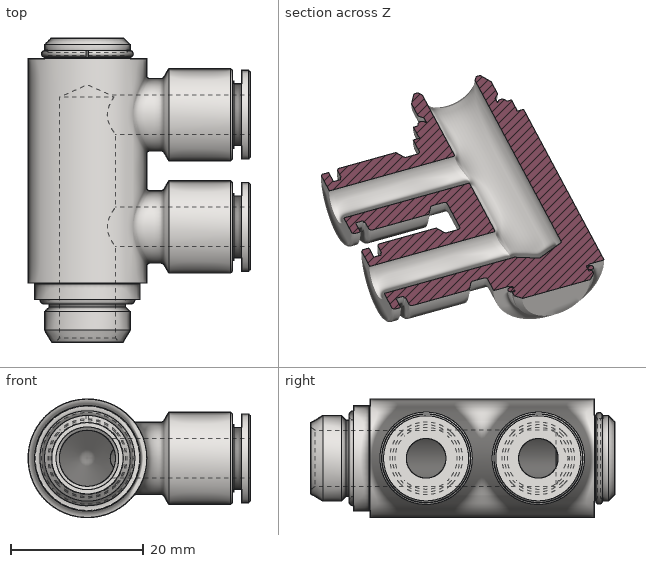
import cadquery as cq
import math


barrel_radius = 9.0
barrel_length = 34.0

collar_radius = 8.0
collar_length = 2.5
relief_depth = 0.1
relief_width = 0.15
seal_radius = 0.7

spigot_radius = 6.5
spigot_neck_radius = 5.8
spigot_neck_length = 1.15
spigot_shoulder_length = spigot_radius - spigot_neck_radius
spigot_land_length = 2.8
spigot_taper_length = 1.85
spigot_tip_radius = 5.4

plug_radius = 6.5
plug_length = 3.1
plug_chamfer = 1.0
ring_groove_radius = 6.0
ring_groove_width = 1.06
ring_wire_radius = 0.5
ring_centre_radius = 6.45
ring_centre_offset = 0.72
ring_gap = 0.4

bore_radius = 4.25
bore_mouth_radius = 4.75
bore_mouth_length = 0.7
drill_point_angle = 132.0
bore_run_past_branch = 2.65

branch_count = 2
branch_pitch = barrel_length / branch_count
branch_neck_radius = 5.5
branch_neck_end = 11.45
branch_neck_fillet = 0.45
branch_root_fillet = 0.4
socket_radius = 7.0
socket_start = 12.35
socket_end = 22.0
socket_chamfer = 0.3
collet_lip_radius = 5.1
collet_lip_length = 0.2
collet_radius = 4.7
collet_flange_radius = 6.75
collet_flange_start = 23.35
collet_end = 24.7
collet_chamfer = 0.3
branch_bore_radius = 3.0

seam_margin = 0.1

collar_bottom = -collar_length
spigot_neck_bottom = collar_bottom - spigot_neck_length
spigot_land_top = spigot_neck_bottom - spigot_shoulder_length
spigot_land_bottom = spigot_land_top - spigot_land_length
spigot_bottom = spigot_land_bottom - spigot_taper_length
plug_top = barrel_length + plug_length
ring_centre = barrel_length + ring_centre_offset
branch_stations = [branch_pitch * (i + 0.5) for i in range(branch_count)]


def revolve_about_y(profile):
    """Close a half profile drawn in XY and spin it about the Y axis."""
    return profile.close().revolve(360, (0, 0, 0), (0, 1, 0))


def make_barrel():
    """Solid barrel, including the collar, O-ring, spigot and plug end."""
    relief_radius = collar_radius - relief_depth
    seal_centre_radius = spigot_neck_radius + seal_radius
    groove_bottom = ring_centre - ring_groove_width / 2
    groove_top = ring_centre + ring_groove_width / 2
    profile = (
        cq.Workplane("XY")
        .moveTo(0, spigot_bottom)
        .lineTo(spigot_tip_radius, spigot_bottom)
        .lineTo(spigot_radius, spigot_land_bottom)
        .lineTo(spigot_radius, spigot_land_top)
        .lineTo(spigot_neck_radius, spigot_neck_bottom)
        .lineTo(spigot_neck_radius, collar_bottom)
        .threePointArc(
            (seal_centre_radius, collar_bottom - seal_radius),
            (seal_centre_radius + seal_radius, collar_bottom),
        )
        .lineTo(collar_radius, collar_bottom)
        .lineTo(collar_radius, -relief_width)
        .lineTo(relief_radius, -relief_width)
        .lineTo(relief_radius, 0)
        .lineTo(barrel_radius, 0)
        .lineTo(barrel_radius, barrel_length)
        .lineTo(plug_radius, barrel_length)
        .lineTo(plug_radius, groove_bottom)
        .lineTo(ring_groove_radius, groove_bottom)
        .lineTo(ring_groove_radius, groove_top)
        .lineTo(plug_radius, groove_top)
        .lineTo(plug_radius, plug_top - plug_chamfer)
        .lineTo(plug_radius - plug_chamfer, plug_top)
        .lineTo(0, plug_top)
    )
    return revolve_about_y(profile)


def make_retaining_ring():
    """Round-wire ring seated in the plug groove, split on its +Z side."""
    wire = cq.Workplane("XY").center(-ring_centre_radius, ring_centre).circle(ring_wire_radius)
    ring = wire.revolve(360, (ring_centre_radius, 0, 0), (ring_centre_radius, 1, 0))
    gap_height = ring_centre_radius + 2 * ring_wire_radius
    gap = cq.Workplane("XY").box(
        ring_gap, 4 * ring_wire_radius, gap_height, centered=(True, True, False)
    )
    return ring.cut(gap.translate((0, ring_centre, 0)))


def make_branch_neck(station):
    """Plain neck running from the barrel axis out to the socket."""
    neck = cq.Workplane("YZ").center(station, 0).circle(branch_neck_radius)
    return neck.extrude(branch_neck_end)


def make_socket(station):
    """Push-in socket and release collet at the outer end of a branch."""
    lip_end = socket_end + collet_lip_length
    overlap_start = branch_neck_end - branch_neck_fillet
    profile = (
        cq.Workplane("XY")
        .moveTo(overlap_start, 0)
        .lineTo(overlap_start, branch_neck_radius)
        .lineTo(branch_neck_end, branch_neck_radius)
        .lineTo(socket_start, socket_radius)
        .lineTo(socket_end - socket_chamfer, socket_radius)
        .lineTo(socket_end, socket_radius - socket_chamfer)
        .lineTo(socket_end, collet_lip_radius)
        .lineTo(lip_end, collet_lip_radius)
        .lineTo(lip_end, collet_radius)
        .lineTo(collet_flange_start, collet_radius)
        .lineTo(collet_flange_start, collet_flange_radius)
        .lineTo(collet_end - collet_chamfer, collet_flange_radius)
        .lineTo(collet_end, collet_flange_radius - collet_chamfer)
        .lineTo(collet_end, 0)
        .close()
    )
    socket = profile.revolve(360, (0, 0, 0), (1, 0, 0))
    return socket.translate((0, station, 0))


def make_main_bore():
    """Blind bore with a tapered mouth and a conical drill point."""
    bore_shoulder = branch_stations[-1] + bore_run_past_branch
    point_length = bore_radius / math.tan(math.radians(drill_point_angle / 2))
    profile = (
        cq.Workplane("XY")
        .moveTo(0, spigot_bottom)
        .lineTo(bore_mouth_radius, spigot_bottom)
        .lineTo(bore_radius, spigot_bottom + bore_mouth_length)
        .lineTo(bore_radius, bore_shoulder)
        .lineTo(0, bore_shoulder + point_length)
    )
    return revolve_about_y(profile)


def make_branch_bore(station):
    """Passage from the main bore out through the collet."""
    return cq.Workplane("YZ").center(station, 0).circle(branch_bore_radius).extrude(collet_end)


def fillet_branch_roots(body):
    """Round the curved seams where the branch necks leave the barrel."""
    seam_nearest_axis = math.sqrt(barrel_radius**2 - branch_neck_radius**2)
    seam_box = cq.selectors.BoxSelector(
        (seam_nearest_axis - seam_margin, seam_margin, -branch_neck_radius - seam_margin),
        (barrel_radius + seam_margin, barrel_length - seam_margin, branch_neck_radius + seam_margin),
        boundingbox=True,
    )
    return body.edges(seam_box).fillet(branch_root_fillet)


def fillet_socket_roots(body):
    """Round the seams between the branch necks and the socket cones."""
    seam_box = cq.selectors.BoxSelector(
        (branch_neck_end - seam_margin, 0, -barrel_radius),
        (branch_neck_end + seam_margin, barrel_length, barrel_radius),
        boundingbox=True,
    )
    return body.edges(seam_box).fillet(branch_neck_fillet)


body = make_barrel()
for branch_station in branch_stations:
    body = body.union(make_branch_neck(branch_station))
    body = body.union(make_socket(branch_station))
body = fillet_branch_roots(body.clean())
body = fillet_socket_roots(body)
body = body.union(make_retaining_ring())
body = body.cut(make_main_bore())
for branch_station in branch_stations:
    body = body.cut(make_branch_bore(branch_station))

result = body